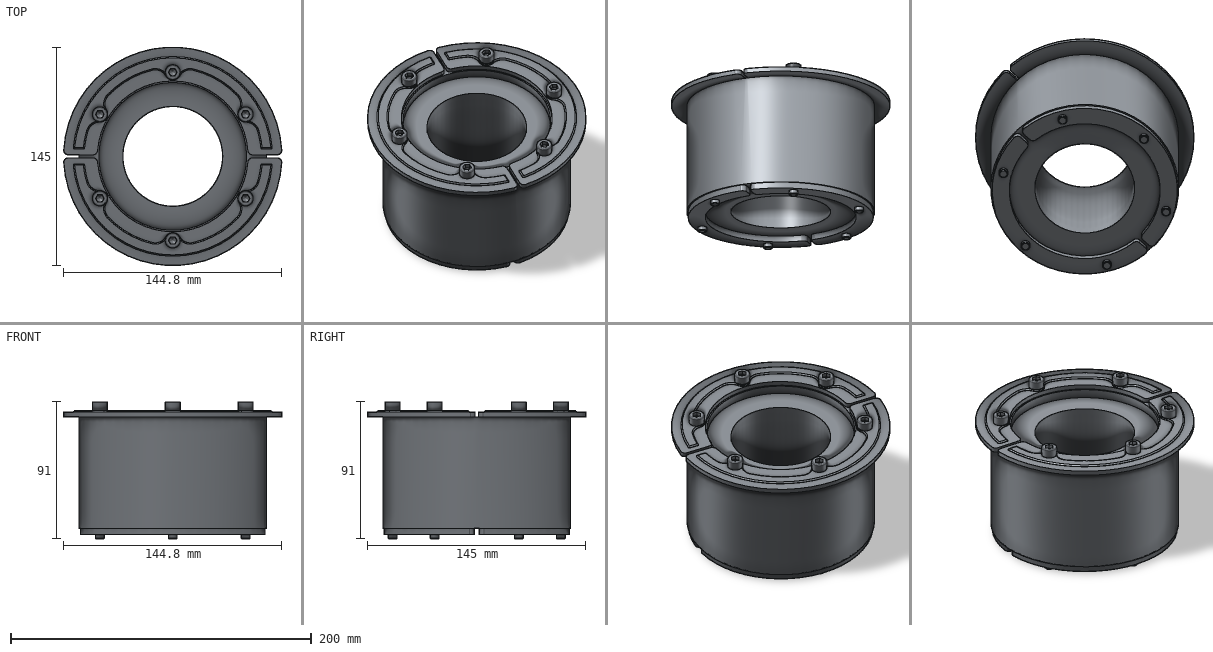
import cadquery as cq
import math

SIDES = (1, -1)

body_radius = 62.4
body_height = 74.1
core_radius = 49.0
core_recess = 6.0
bore_radius = 33.0

plate_inner_radius = 50.0
plate_corner_radius = 3.0
flange_radius = 72.5
flange_thickness = 3.0
flange_gap = 2.0
backing_radius = 61.5
backing_thickness = 4.0
backing_gap = 3.0

pad_inner_radius = 58.7
pad_outer_radius = 66.3
pad_height = 1.0
pad_bevel = 0.9
pad_end_offset = 5.0
pad_corner_radius = 1.0
lobe_radius = 5.2
lobe_blend_radius = 8.0

screw_circle_radius = 55.8
screw_angles = (30, 90, 150)
shank_diameter = 6.0
head_diameter = 10.0
head_height = 6.0
head_edge_radius = 0.6
socket_width = 5.0
socket_depth = 3.0
socket_cone_angle = 120.0
tip_length = 2.9
tip_chamfer = 0.6

flange_top = body_height + flange_thickness
head_base = flange_top + pad_height
head_top = head_base + head_height
tip_bottom = -backing_thickness - tip_length


def annulus(outer_radius, inner_radius, bottom, height):
    base = cq.Workplane("XY", origin=(0, 0, bottom))
    return base.circle(outer_radius).circle(inner_radius).extrude(height)


def half_space(side, offset, bottom, height):
    """Block covering everything beyond the given offset from the split plane."""
    size = 3 * flange_radius
    centre_y = side * (offset + size / 2)
    return cq.Workplane("XY", origin=(0, centre_y, bottom)).rect(size, size).extrude(height)


def screw_points(side):
    points = []
    for angle in screw_angles:
        turn = math.radians(angle)
        x = screw_circle_radius * math.cos(turn)
        y = side * screw_circle_radius * math.sin(turn)
        points.append((x, y))
    return points


def make_body():
    body = annulus(body_radius, bore_radius, 0, body_height)
    recess_floor = body_height - core_recess
    recess = cq.Workplane("XY", origin=(0, 0, recess_floor)).circle(core_radius).extrude(core_recess)
    return body.cut(recess)


def make_half_plate(side, radius, gap, bottom, thickness):
    plate = annulus(radius, plate_inner_radius, bottom, thickness)
    plate = plate.intersect(half_space(side, gap / 2, bottom, thickness))
    return plate.edges("|Z").fillet(plate_corner_radius)


def make_pad(side):
    """Arc-shaped pad that widens into a round lobe under each screw head."""
    pad = annulus(pad_outer_radius, pad_inner_radius, flange_top, pad_height)
    pad = pad.intersect(half_space(side, pad_end_offset, flange_top, pad_height))
    pad = pad.edges("|Z").fillet(pad_corner_radius)

    lobes = cq.Workplane("XY", origin=(0, 0, flange_top)).pushPoints(screw_points(side))
    pad = pad.union(lobes.circle(lobe_radius).extrude(pad_height))

    reach = 2 * lobe_radius
    for x, y in screw_points(side):
        near_screw = cq.selectors.BoxSelector(
            (x - reach, y - reach, flange_top - pad_height),
            (x + reach, y + reach, head_base + pad_height),
        )
        pad = pad.edges("|Z").edges(near_screw).fillet(lobe_blend_radius)
    return pad.faces(">Z").edges().chamfer(pad_bevel)


def make_screw():
    """Screw on the Z axis, running from its tip below the backing plate to its head above the pad."""
    shank = cq.Workplane("XY", origin=(0, 0, tip_bottom)).circle(shank_diameter / 2)
    shank = shank.extrude(head_base - tip_bottom)
    shank = shank.faces("<Z").chamfer(tip_chamfer)

    head = cq.Workplane("XY", origin=(0, 0, head_base)).circle(head_diameter / 2).extrude(head_height)
    head = head.faces(">Z").edges().fillet(head_edge_radius)

    across_corners = socket_width / math.cos(math.pi / 6)
    socket_floor = head_top - socket_depth
    hexagon = cq.Workplane("XY", origin=(0, 0, socket_floor)).polygon(6, across_corners).extrude(socket_depth)
    cone_radius = socket_width / 2
    cone_depth = cone_radius / math.tan(math.radians(socket_cone_angle / 2))
    cone = cq.Solid.makeCone(
        cone_radius, 0, cone_depth, pnt=cq.Vector(0, 0, socket_floor), dir=cq.Vector(0, 0, -1)
    )
    return shank.union(head).cut(hexagon).cut(cq.Workplane(cone))


result = make_body()
screw = make_screw()
for side in SIDES:
    flange = make_half_plate(side, flange_radius, flange_gap, body_height, flange_thickness)
    backing = make_half_plate(side, backing_radius, backing_gap, -backing_thickness, backing_thickness)
    result = result.union(flange).union(backing).union(make_pad(side))
    for x, y in screw_points(side):
        result = result.union(screw.translate((x, y, 0)))